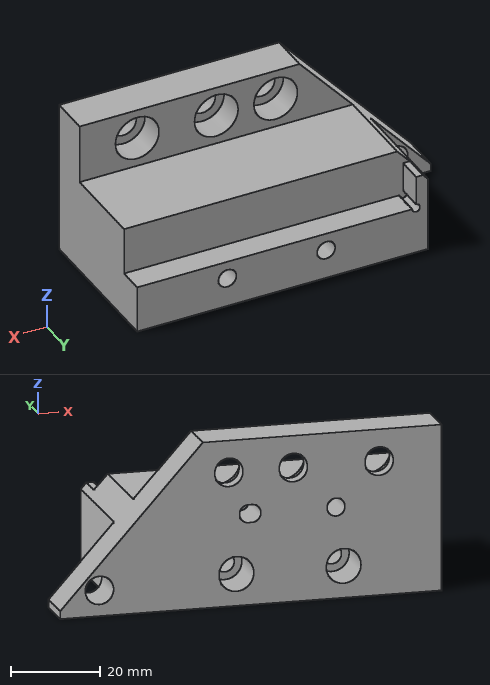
import cadquery as cq
import math

length = 88.9
depth = 38.1
height = 38.8

plate_thickness = 10.05
toe_height = 1.9
slope_run = 33.25

block_left = 15.3
block_top = 23.8

rebate_width = 6.4
rebate_step = 3.6
lip_right = 18.3
relief_radius = 1.0
rebate_front = depth - rebate_width
lip_top = block_top - rebate_step
rebate_floor = 11.9

clearance_diameter = 6.6
row_rear_diameter = 11.0
row_collar_depth = 3.2
row_z = 31.3
row_start_x = 39.3
row_offsets = (0, 15.0, 35.0)
toe_hole = (9.2, 6.05)

screw_xs = (41.1, 66.1)
screw_z = 7.5
screw_diameter = 4.5
counterbore_diameter = 8.1
counterbore_depth = plate_thickness

locator_z = 21.3
locator_size = 4.2
locator_depth = plate_thickness
slot_x = 44.3
slot_length = 5.0
drill_x = 64.3
drill_point_angle = 118


def front_plane(x=0, z=0, y=0):
    """Sketch plane at depth y whose local axes are X and Z; extruding by -d goes toward +Y."""
    return cq.Workplane("XZ", origin=(x, y, z))


def round_cut(x, z, diameter, cut_depth):
    """Cylinder running from the front face into the part."""
    return front_plane(x, z).circle(diameter / 2).extrude(-cut_depth)


def sloped_profile(thickness):
    """Plate outline extruded from the front face."""
    return (
        front_plane()
        .moveTo(0, 0)
        .lineTo(length, 0)
        .lineTo(length, height)
        .lineTo(slope_run, height)
        .lineTo(0, toe_height)
        .close()
        .extrude(-thickness)
    )


def block():
    """Block limited by the plate slope, its left wall and its flat top."""
    envelope = cq.Workplane("XY").box(length - block_left, depth, block_top, centered=False)
    return sloped_profile(depth).intersect(envelope.translate((block_left, 0, 0)))


def rebate():
    """Rear rebate: a shallow step over the left lip, then a deep floor with a relieved corner."""
    steps = (
        front_plane(y=rebate_front)
        .moveTo(block_left, lip_top)
        .lineTo(lip_right, lip_top)
        .lineTo(lip_right, rebate_floor)
        .lineTo(length, rebate_floor)
        .lineTo(length, block_top)
        .lineTo(block_left, block_top)
        .close()
        .extrude(-rebate_width)
    )
    relief = (
        front_plane(lip_right, rebate_floor, rebate_front)
        .circle(relief_radius)
        .extrude(-rebate_width)
    )
    return steps.union(relief)


def row_hole(x):
    """Through hole in the plate, left narrow only in a short collar at the front face."""
    collar = round_cut(x, row_z, clearance_diameter, plate_thickness)
    rear_length = plate_thickness - row_collar_depth
    rear_bore = front_plane(x, row_z, row_collar_depth).circle(row_rear_diameter / 2).extrude(-rear_length)
    return collar.union(rear_bore)


def screw_hole(x):
    """Through hole with a counterbore in the front face."""
    bore = round_cut(x, screw_z, screw_diameter, depth)
    return bore.union(round_cut(x, screw_z, counterbore_diameter, counterbore_depth))


def locating_slot():
    """Flat-bottomed blind slot, longer along X."""
    return front_plane(slot_x, locator_z).slot2D(slot_length, locator_size).extrude(-locator_depth)


def drilled_hole():
    """Blind hole ending in a drill point."""
    radius = locator_size / 2
    point_depth = radius / math.tan(math.radians(drill_point_angle / 2))
    return (
        cq.Workplane("XY", origin=(drill_x, 0, locator_z))
        .moveTo(0, 0)
        .lineTo(radius, 0)
        .lineTo(radius, locator_depth)
        .lineTo(0, locator_depth + point_depth)
        .close()
        .revolve(360, (0, 0, 0), (0, 1, 0))
    )


result = sloped_profile(plate_thickness).union(block()).cut(rebate())

for offset in row_offsets:
    result = result.cut(row_hole(row_start_x + offset))
result = result.cut(round_cut(*toe_hole, clearance_diameter, plate_thickness))

for screw_x in screw_xs:
    result = result.cut(screw_hole(screw_x))

result = result.cut(locating_slot()).cut(drilled_hole())